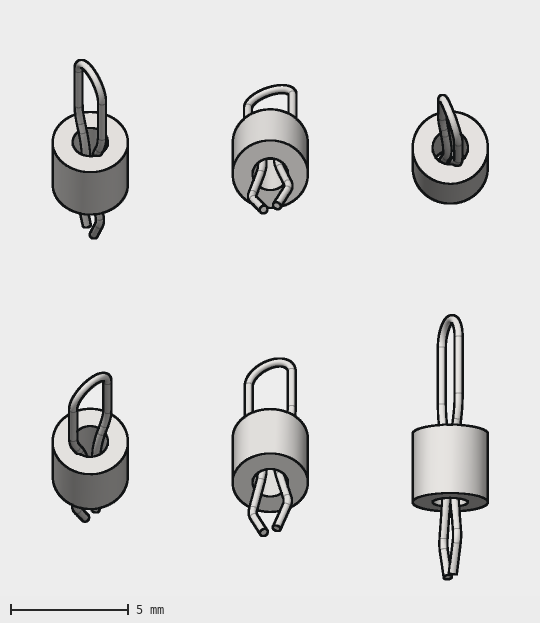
import cadquery as cq
import math

total_height = 11.43

bead_diameter = 3.2
bore_diameter = 1.5
bead_height = 3.0

wire_diameter = 0.35
bow_radius = 1.0
bow_rise = 5.17
straight_leg = 2.49

shoulder_radius = 3.0
shoulder_angle = 20.0
entry_length = 0.49
waist_radius = 5.0
flare_angle = 11.5
flare_length = 1.75
knee_radius = 1.0
tail_angle = 20.0

wire_radius = wire_diameter / 2
wire_top = bead_height / 2 + bow_rise
wire_bottom = wire_top - total_height
bow_center_z = wire_top - wire_radius - bow_radius


def sine(angle):
    return math.sin(math.radians(angle))


def cosine(angle):
    return math.cos(math.radians(angle))


def run(path, x, z, slope, length):
    """Add a straight run going down; slope is the inward tilt from vertical."""
    x -= length * sine(slope)
    z -= length * cosine(slope)
    return path.lineTo(x, z), x, z


def bend(path, x, z, slope, new_slope, radius):
    """Add a tangent arc going down that changes the inward tilt to new_slope."""
    side = math.copysign(radius, new_slope - slope)
    middle_slope = (slope + new_slope) / 2

    def arc_point(angle):
        return (x + side * (cosine(angle) - cosine(slope)),
                z - side * (sine(angle) - sine(slope)))

    end = arc_point(new_slope)
    return path.threePointArc(arc_point(middle_slope), end), end[0], end[1]


def make_bead():
    base = cq.Workplane("XY", origin=(0, 0, -bead_height / 2))
    return base.circle(bead_diameter / 2).circle(bore_diameter / 2).extrude(bead_height)


def make_bow():
    """Half ring joining the tops of the two legs."""
    section = cq.Workplane("XY", origin=(0, 0, bow_center_z)).center(bow_radius, 0).circle(wire_radius)
    return section.revolve(180, (-bow_radius, 0), (-bow_radius, -1))


def make_leg():
    """Leg on the +X side, from the bow down to the free end."""
    x, z = bow_radius, bow_center_z
    path = cq.Workplane("XZ").moveTo(x, z)
    path, x, z = run(path, x, z, 0, straight_leg)
    path, x, z = bend(path, x, z, 0, shoulder_angle, shoulder_radius)
    path, x, z = run(path, x, z, shoulder_angle, entry_length)
    path, x, z = bend(path, x, z, shoulder_angle, -flare_angle, waist_radius)
    path, x, z = run(path, x, z, -flare_angle, flare_length)
    path, x, z = bend(path, x, z, -flare_angle, tail_angle, knee_radius)
    tail_drop = z - wire_bottom - wire_radius * sine(tail_angle)
    path = run(path, x, z, tail_angle, tail_drop / cosine(tail_angle))[0]

    section = cq.Workplane("XY", origin=(bow_radius, 0, bow_center_z)).circle(wire_radius)
    return section.sweep(path)


right_leg = make_leg()
left_leg = right_leg.mirror("YZ")
wire = make_bow().union(right_leg).union(left_leg)

result = make_bead().union(wire)